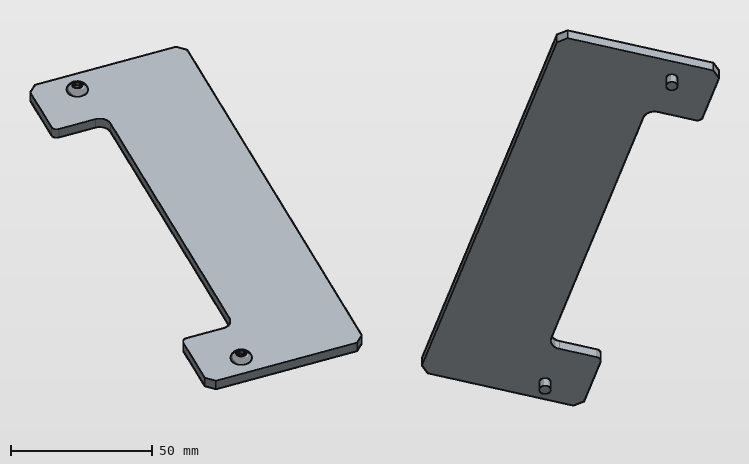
import cadquery as cq
import math

plate_length = 170.0
plate_width = 60.0
plate_thickness = 4.0
corner_chamfer = 3.0
tab_width = 25.0
notch_depth = 20.0
notch_inner_radius = 4.0
tab_corner_radius = 2.0

screw_edge_distance = 8.0
screw_front_distance = 16.0
shank_diameter = 4.0
shank_length = 8.0
head_diameter = 7.6
head_top_diameter = 3.7
head_height = 2.2
socket_flats = 2.5
socket_depth = 1.4

notch_length = plate_length - 2 * tab_width
front_y = -plate_width / 2
notch_y = front_y + notch_depth
screw_x = plate_length / 2 - screw_edge_distance
screw_y = front_y + screw_front_distance
screw_positions = [(-screw_x, screw_y), (screw_x, screw_y)]


def vertical_edges_at(body, x, y):
    """Select the vertical edges at (-x, y) and (x, y)."""
    margin = 0.2
    left = cq.selectors.BoxSelector(
        (-x - margin, y - margin, -margin),
        (-x + margin, y + margin, plate_thickness + margin),
    )
    right = cq.selectors.BoxSelector(
        (x - margin, y - margin, -margin),
        (x + margin, y + margin, plate_thickness + margin),
    )
    return body.edges("|Z").edges(left + right)


def make_plate():
    """Flat U-shaped plate lying on Z = 0, with a clearance-free hole for each screw."""
    plate = cq.Workplane("XY").box(
        plate_length, plate_width, plate_thickness, centered=(True, True, False)
    )
    plate = plate.edges("|Z").chamfer(corner_chamfer)

    notch = cq.Workplane("XY").box(
        notch_length, notch_depth, plate_thickness, centered=(True, False, False)
    )
    plate = plate.cut(notch.translate((0, front_y, 0)))
    plate = vertical_edges_at(plate, notch_length / 2, notch_y).fillet(notch_inner_radius)
    plate = vertical_edges_at(plate, notch_length / 2, front_y).fillet(tab_corner_radius)

    holes = (
        cq.Workplane("XY")
        .pushPoints(screw_positions)
        .circle(shank_diameter / 2)
        .extrude(plate_thickness)
    )
    return plate.cut(holes)


def make_screw(x, y):
    """Button-head screw with a hexagon socket, its head seated on the plate's top face."""
    head_radius = head_diameter / 2
    top_radius = head_top_diameter / 2
    shank_radius = shank_diameter / 2

    center_z = (top_radius**2 + head_height**2 - head_radius**2) / (2 * head_height)
    dome_radius = math.hypot(head_radius, center_z)
    middle_z = head_height / 2
    middle_radius = math.sqrt(dome_radius**2 - (middle_z - center_z) ** 2)

    screw = (
        cq.Workplane("XZ")
        .moveTo(0, -shank_length)
        .lineTo(shank_radius, -shank_length)
        .lineTo(shank_radius, 0)
        .lineTo(head_radius, 0)
        .threePointArc((middle_radius, middle_z), (top_radius, head_height))
        .lineTo(0, head_height)
        .close()
        .revolve(360, (0, 0, 0), (0, 1, 0))
    )

    socket_corner_diameter = socket_flats / math.cos(math.pi / 6)
    socket = (
        cq.Workplane("XY")
        .workplane(offset=head_height - socket_depth)
        .polygon(6, socket_corner_diameter)
        .extrude(socket_depth)
    )
    return screw.cut(socket).translate((x, y, plate_thickness))


plate = make_plate()
screws = [make_screw(x, y) for x, y in screw_positions]

result = cq.Compound.makeCompound([plate.val(), *[screw.val() for screw in screws]])